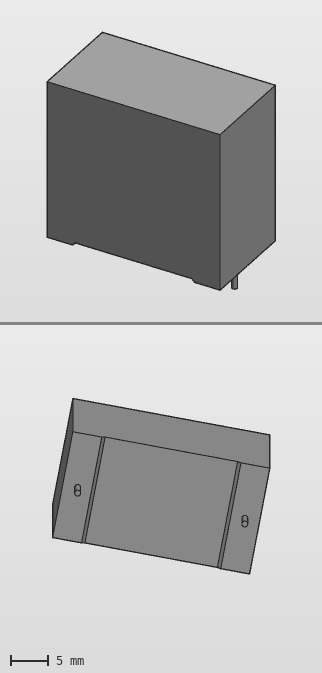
import cadquery as cq

total_height = 28.2
body_length = 26.5
body_depth = 14.5

lead_diameter = 0.8
lead_length = 4.05
lead_pitch = 22.48

relief_depth = 0.45
relief_top_length = 17.82
relief_bottom_length = relief_top_length + 2 * relief_depth

body_height = total_height - lead_length


def make_body():
    """Box standing on Z = 0, with the relief cut through along Y."""
    body = cq.Workplane("XY").box(body_length, body_depth, body_height, centered=(True, True, False))
    relief = (
        cq.Workplane("XZ")
        .polyline([
            (-relief_bottom_length / 2, 0),
            (-relief_top_length / 2, relief_depth),
            (relief_top_length / 2, relief_depth),
            (relief_bottom_length / 2, 0),
        ])
        .close()
        .extrude(body_depth / 2, both=True)
    )
    return body.cut(relief)


def make_leads():
    """Two straight leads hanging from the feet, on the centre line of the body."""
    return (
        cq.Workplane("XY")
        .pushPoints([(-lead_pitch / 2, 0), (lead_pitch / 2, 0)])
        .circle(lead_diameter / 2)
        .extrude(-lead_length)
    )


result = make_body().union(make_leads())